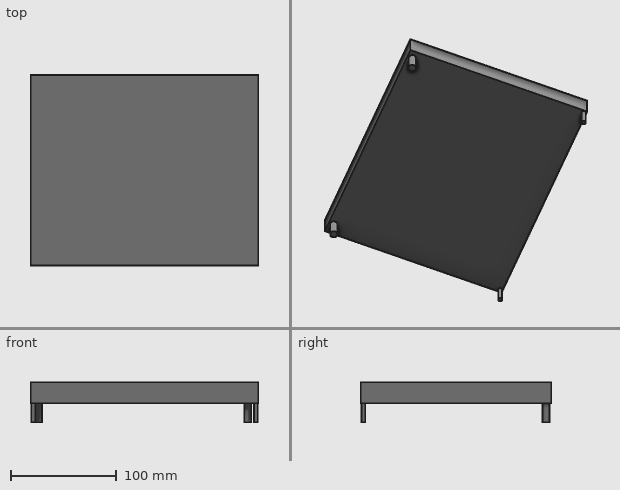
import cadquery as cq

length = 215.0
width = 180.0
total_height = 38.0
slab_height = 20.0
leg_height = total_height - slab_height

slim_diameter = 3.8
thick_diameter = 6.8
slim_inset = 2.5
thick_inset_y = 5.0
thick_left_inset_x = 7.5
thick_right_inset_x = 10.0

half_length = length / 2
half_width = width / 2


def make_slab():
    """Solid slab with its underside at Z = 0."""
    return cq.Workplane("XY").box(length, width, slab_height, centered=(True, True, False))


def make_legs(diameter, positions):
    """Round legs of one diameter hanging below the slab."""
    return cq.Workplane("XY").pushPoints(positions).circle(diameter / 2).extrude(-leg_height)


slim_y = slim_inset - half_width
slim_positions = [(side * (half_length - slim_inset), slim_y) for side in (-1, 1)]

thick_y = half_width - thick_inset_y
thick_positions = [
    (thick_left_inset_x - half_length, thick_y),
    (half_length - thick_right_inset_x, thick_y),
]

result = make_slab()
result = result.union(make_legs(slim_diameter, slim_positions))
result = result.union(make_legs(thick_diameter, thick_positions))